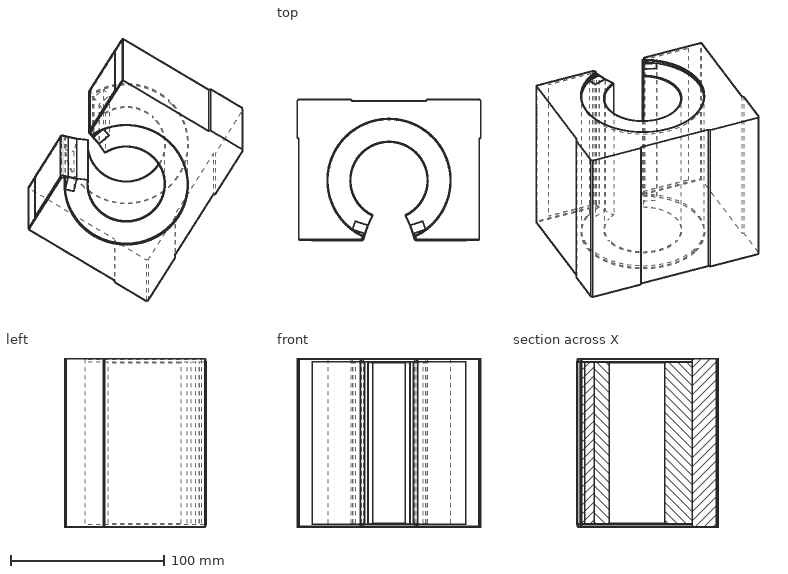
import cadquery as cq
import math


height = 110.0
back_y = 53.0
front_y = -39.0
foot_half_width = 60.0
body_half_width = 59.0
foot_end_y = 28.0
step = foot_half_width - body_half_width
relief_half_width = 25.0
edge_chamfer = 0.5

bore_radius = 40.0
shaft_radius = 25.0
sleeve_height = 106.0
opening_half_angle = 25.0

seal_corner_radius = 32.4
seal_tilt = 18.0
seal_width = 8.8
seal_depth = 5.75
cover_thickness = 0.3
cover_outer_x = 50.0
cover_bend_radius = 1.5


def prism(outline, length):
    """Closed XY outline extruded along Z, centred on the XY plane."""
    return cq.Workplane("XY").polyline(outline).close().extrude(length / 2, both=True)


def cylinder(radius, length):
    return cq.Workplane("XY").circle(radius).extrude(length / 2, both=True)


def on_both_sides(solid):
    """The +X solid and its mirror image."""
    return [solid, solid.mirror("YZ")]


wedge_depth = 2 * abs(front_y)
wedge_half_width = wedge_depth * math.tan(math.radians(opening_half_angle))
opening = prism([(0, 0), (wedge_half_width, -wedge_depth), (-wedge_half_width, -wedge_depth)], height)

corner_x = seal_corner_radius * math.sin(math.radians(opening_half_angle))
corner_y = -seal_corner_radius * math.cos(math.radians(opening_half_angle))
tilt_sin = math.sin(math.radians(seal_tilt))
tilt_cos = math.cos(math.radians(seal_tilt))


def seal_point(inward, along):
    """XY point measured from the seal corner, into the sleeve and along the seal's face."""
    return (
        corner_x + inward * tilt_cos + along * tilt_sin,
        corner_y + inward * tilt_sin - along * tilt_cos,
    )


def seal_frame_box(inward_start, inward_end, along_start, along_end):
    """Sleeve-high block with its sides parallel to the seal."""
    outline = [
        seal_point(inward_start, along_start),
        seal_point(inward_end, along_start),
        seal_point(inward_end, along_end),
        seal_point(inward_start, along_end),
    ]
    return prism(outline, sleeve_height)


def make_housing():
    right_side = [
        (relief_half_width - step, back_y - step),
        (relief_half_width, back_y),
        (foot_half_width - step, back_y),
        (foot_half_width, back_y - step),
        (foot_half_width, foot_end_y),
        (body_half_width, foot_end_y - step),
        (body_half_width, front_y),
    ]
    left_side = [(-x, y) for x, y in reversed(right_side)]
    block = prism(right_side + left_side, height)
    block = block.cut(cylinder(bore_radius, height)).cut(opening)
    block = block.faces("<Y").chamfer(edge_chamfer)
    bore_ends = cq.selectors.RadiusNthSelector(0)
    return block.edges("%CIRCLE").edges(bore_ends).chamfer(edge_chamfer)


def make_open_ring():
    """Sleeve section before the seal pockets are cut."""
    ring = cylinder(bore_radius, sleeve_height).cut(cylinder(shaft_radius, sleeve_height))
    shaft_edges = cq.selectors.RadiusNthSelector(0)
    ring = ring.edges("%CIRCLE").edges(shaft_edges).chamfer(edge_chamfer)
    return ring.cut(opening)


def make_sleeve():
    sleeve = make_open_ring()
    pocket = seal_frame_box(0, seal_width, 0, bore_radius)
    for side_pocket in on_both_sides(pocket):
        sleeve = sleeve.cut(side_pocket)
    return sleeve


def make_seal():
    """Bar lying in the sleeve pocket, trimmed where its back corner meets the housing bore."""
    bar = seal_frame_box(cover_thickness, seal_width, 0, seal_depth)
    return bar.intersect(cylinder(bore_radius, sleeve_height))


def make_retainer():
    """Sliver between the seal and the housing bore."""
    return make_open_ring().intersect(seal_frame_box(0, seal_width, seal_depth, bore_radius))


def make_cover():
    """Thin sheet along the seal's face, bent around onto the front face of the housing."""
    outer_y = front_y - cover_thickness

    def bend_corner(inward, y):
        along = (corner_y + inward * tilt_sin - y) / tilt_cos
        return seal_point(inward, along)

    outer_corner = bend_corner(0, outer_y)
    inner_corner = bend_corner(cover_thickness, front_y)
    outline = [
        seal_point(0, 0),
        outer_corner,
        (cover_outer_x, outer_y),
        (cover_outer_x, front_y),
        inner_corner,
        seal_point(cover_thickness, 0),
    ]
    sheet = prism(outline, sleeve_height)
    bends = [
        (outer_corner, cover_bend_radius),
        (inner_corner, cover_bend_radius - cover_thickness),
    ]
    for (x, y), radius in bends:
        sheet = sheet.edges("|Z").edges(cq.selectors.NearestToPointSelector((x, y, 0))).fillet(radius)
    return sheet


housing = make_housing()
sleeve = make_sleeve()
seals = on_both_sides(make_seal())
retainers = on_both_sides(make_retainer())
covers = on_both_sides(make_cover())

result = cq.Compound.makeCompound(
    [body.val() for body in [housing, sleeve, *seals, *retainers, *covers]]
)